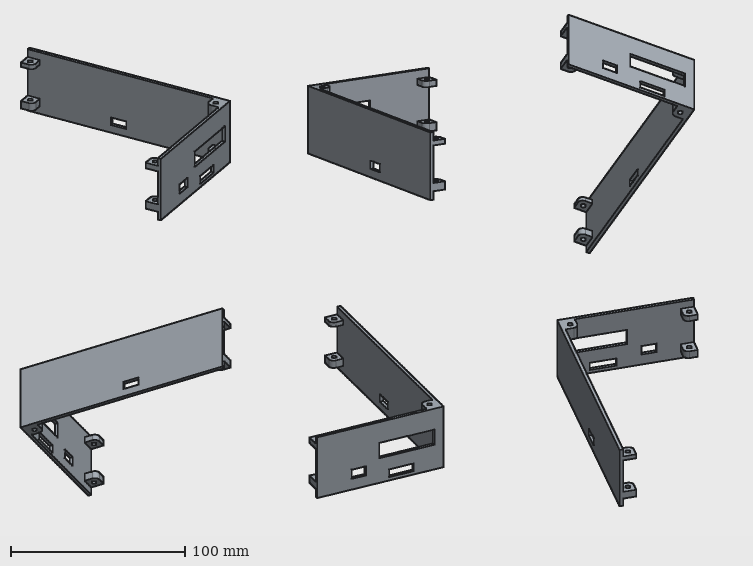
import cadquery as cq

length = 132.0
width = 81.0
height = 40.0
back_wall = 2.2
side_wall = 2.0

post_size = 8.0
back_post_depth = 7.8
post_radius = 3.0
hole_diameter = 2.8
hole_inset = 4.0

post_recess = 5.0
lower_post_top = 9.9
upper_post_top = height - post_recess
back_upper_post_bottom = 32.1
side_upper_post_bottom = 31.3

inner_x = length - side_wall
inner_y = width - back_wall
corner_post_x = inner_x - post_size
back_post_y = inner_y - back_post_depth

back_window = (54.8, post_recess, 10.0, lower_post_top - post_recess)

side_windows = [
    (5.8, 16.2, 35.4, 10.0),
    (19.0, 2.2, 15.8, 5.0),
    (49.8, 7.1, 9.1, 6.0),
]


def block(x, y, z, size_x, size_y, size_z):
    """Box placed by its minimum corner."""
    return cq.Workplane("XY").box(size_x, size_y, size_z, centered=False).translate((x, y, z))


def post(x, y, depth, bottom, top, rounded_edge):
    """Post with the vertical edge picked by the selector rounded."""
    body = block(x, y, bottom, post_size, depth, top - bottom)
    return body.edges("|Z").edges(rounded_edge).fillet(post_radius)


walls = block(0, inner_y, 0, length, back_wall, height)
walls = walls.union(block(inner_x, 0, 0, side_wall, width, height))

left, bottom, window_width, window_height = back_window
walls = walls.cut(block(left, inner_y, bottom, window_width, back_wall, window_height))
for offset, bottom, window_width, window_height in side_windows:
    start_y = width - offset - window_width
    walls = walls.cut(block(inner_x, start_y, bottom, side_wall, window_width, window_height))

posts = [
    post(0, back_post_y, back_post_depth, post_recess, lower_post_top, ">X and <Y"),
    post(0, back_post_y, back_post_depth, back_upper_post_bottom, upper_post_top, ">X and <Y"),
    post(corner_post_x, back_post_y, back_post_depth, 0, lower_post_top, "<X and <Y"),
    post(corner_post_x, back_post_y, back_post_depth, back_upper_post_bottom, height, "<X and <Y"),
    post(corner_post_x, 0, post_size, post_recess, lower_post_top, "<X and >Y"),
    post(corner_post_x, 0, post_size, side_upper_post_bottom, upper_post_top, "<X and >Y"),
]
result = walls
for screw_post in posts:
    result = result.union(screw_post)

hole_centers = [
    (hole_inset, back_post_y + hole_inset),
    (inner_x - hole_inset, back_post_y + hole_inset),
    (inner_x - hole_inset, hole_inset),
]
holes = cq.Workplane("XY").pushPoints(hole_centers).circle(hole_diameter / 2).extrude(height)
result = result.cut(holes)